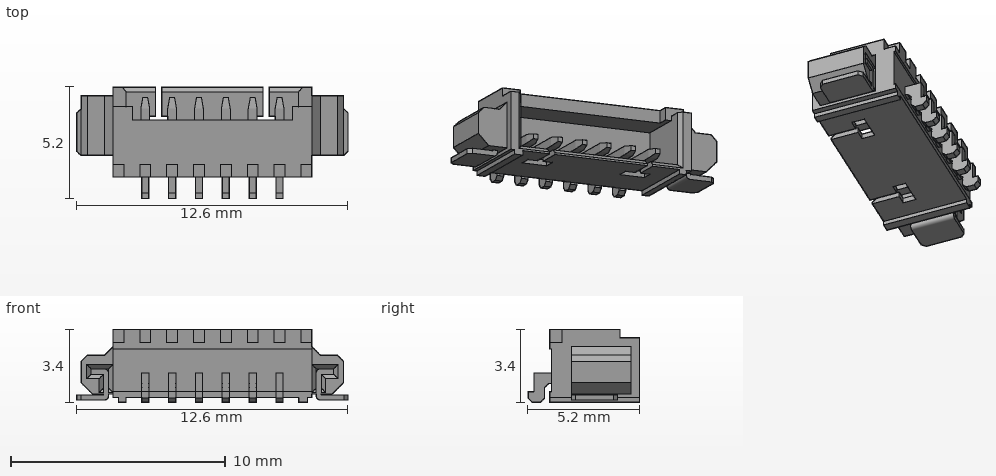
import cadquery as cq


contact_count = 6
pitch = 1.25
first_contact_x = -pitch * (contact_count - 1) / 2

notch_count = contact_count + 2
notch_width = 0.5
notch_depth = 0.58
notch_floor = 2.8

housing_width = pitch * (notch_count - 1) + notch_width
housing_depth = 4.2
housing_top = 3.4
housing_bottom = 0.22
half_width = housing_width / 2

recess_depth = 0.09
recess_bottom = 0.49
recess_top = 2.48

side_wall = 0.62
cavity_floor = 0.49
cavity_top = 2.8
cavity_front = 0.89
lead_in_depth = 0.23
lead_in_rise = 0.19

back_step_depth = 0.91
back_step_top = 3.01
roof_opening_depth = 1.53
roof_opening_margin = 0.91

latch_slot_width = 0.28
latch_slot_depth = 1.37
latch_window_length = 0.63

peg_width_left = 0.35
peg_width_right = 0.42
peg_inner_x = 4.02

pin_width = 0.42
pin_tip_width = 0.23
pin_shoulder_y = 3.18
pin_tip_y = 3.71
tail_width = 0.34
tail_top = 1.37
tail_underside = 0.87
tail_reach = 1.0
tail_toe_height = 0.49
tail_outer_y = -0.73
tail_inner_y = -0.23
tail_chamfer = 0.19
pin_axis_z = (tail_top + tail_underside) / 2

wing_reach = 1.48
wing_front = 1.01
wing_back = 3.8
wing_bottom = 0.38
wing_top = 2.2
wing_gusset = 0.39
wing_top_chamfer = 0.29
wing_bottom_chamfer = 0.53

overall_half_length = 6.32
arm_thickness = 0.25
stem_thickness = 0.24
foot_thickness = 0.24
bracket_outer_x = 5.65
socket_bevel = 0.2
bracket_inner_x = half_width + socket_bevel
bracket_top = 1.55
bracket_back = 3.18
foot_bottom = 0.1
foot_corner_chamfer = 0.19
bend_radius = 0.19
socket_bottom = 0.45


def box(x0, x1, y0, y1, z0, z1):
    return cq.Workplane("XY").box(x1 - x0, y1 - y0, z1 - z0, centered=False).translate((x0, y0, z0))


def front_profile(points, y):
    """Closed outline in X and Z at the given Y; extruding by a negative length goes toward the back."""
    return cq.Workplane("XZ", origin=(0, y, 0)).polyline(points).close()


def both_sides(solid):
    return solid.union(solid.mirror("YZ"))


def housing_shell():
    shell = box(-half_width, half_width, 0, housing_depth, housing_bottom, housing_top)
    shell = shell.cut(box(-half_width, half_width, 0, recess_depth, recess_bottom, recess_top))
    for i in range(notch_count):
        left = -half_width + i * pitch
        shell = shell.cut(box(left, left + notch_width, 0, notch_depth, notch_floor, housing_top))
    return shell


def cavity():
    """Mating space with a flared mouth, plus the stepped opening through the roof."""
    inner = half_width - side_wall
    back_step_y = housing_depth - back_step_depth
    roof_x = half_width - roof_opening_margin
    space = box(-inner, inner, cavity_front, housing_depth, cavity_floor, cavity_top)
    space = space.union(box(-half_width, half_width, back_step_y, housing_depth, back_step_top, housing_top))
    space = space.union(box(-inner, inner, back_step_y, housing_depth, cavity_floor, housing_top))
    roof_y = housing_depth - roof_opening_depth
    space = space.union(box(-roof_x, roof_x, roof_y, housing_depth, cavity_floor, housing_top))

    flare_y = housing_depth - lead_in_depth
    inner_height = housing_top - cavity_floor
    mouth = (
        cq.Workplane("XZ", origin=(0, flare_y, (cavity_floor + housing_top) / 2))
        .rect(2 * inner, inner_height)
        .workplane(offset=-lead_in_depth)
        .rect(2 * (inner + lead_in_rise), inner_height + 2 * lead_in_rise)
        .loft(combine=True)
    )
    return space.union(mouth)


def latch_windows():
    """T-shaped openings through the floor, between the outermost pairs of contacts."""
    slot_y = housing_depth - latch_slot_depth
    crossbar_y = slot_y - latch_window_length
    half_slot = latch_slot_width / 2
    x = first_contact_x + pitch / 2
    window = box(x - half_slot, x + half_slot, slot_y, housing_depth, 0, cavity_floor)
    crossbar = box(x - pitch / 2, x + pitch / 2, crossbar_y, slot_y, 0, cavity_floor)
    return both_sides(window.union(crossbar))


def pegs():
    left = box(-peg_inner_x - peg_width_left, -peg_inner_x, 0, housing_depth, 0, housing_bottom)
    right = box(peg_inner_x, peg_inner_x + peg_width_right, 0, housing_depth, 0, housing_bottom)
    return left.union(right)


def contact(x):
    """Square pin with a tapered tip inside the cavity and a stepped solder tail in front."""
    shaft = box(
        x - pin_width / 2, x + pin_width / 2, recess_depth, pin_shoulder_y,
        pin_axis_z - pin_width / 2, pin_axis_z + pin_width / 2,
    )
    tip = (
        cq.Workplane("XZ", origin=(x, pin_shoulder_y, pin_axis_z))
        .rect(pin_width, pin_width)
        .workplane(offset=pin_shoulder_y - pin_tip_y)
        .rect(pin_tip_width, pin_tip_width)
        .loft(combine=True)
    )
    tail_points = [
        (cavity_front, tail_top),
        (tail_outer_y, tail_top),
        (tail_outer_y, tail_toe_height),
        (-tail_reach, tail_toe_height),
        (-tail_reach, tail_chamfer),
        (tail_chamfer - tail_reach, 0),
        (tail_inner_y - tail_chamfer, 0),
        (tail_inner_y, tail_chamfer),
        (tail_inner_y, tail_underside - tail_chamfer),
        (tail_inner_y + tail_chamfer, tail_underside),
        (cavity_front, tail_underside),
    ]
    tail = (
        cq.Workplane("YZ", origin=(x, 0, 0))
        .polyline(tail_points)
        .close()
        .extrude(tail_width / 2, both=True)
    )
    return shaft.union(tip).union(tail)


def socket_mouth(outer_x, bottom_z):
    """Bevelled recess around one leg of the bracket, from the housing side out past outer_x."""
    left = -outer_x - socket_bevel
    top = bracket_top + socket_bevel
    corners = [(left, bottom_z), (-half_width, bottom_z), (-half_width, top), (left, top)]
    return front_profile(corners, wing_front).extrude(-socket_bevel, taper=45)


def wing():
    """Left wing, with the bevelled mouth of the L-shaped bracket socket in its front face."""
    outer = -half_width - wing_reach
    block = front_profile(
        [
            (-half_width, wing_bottom),
            (-half_width, wing_top + wing_gusset),
            (-half_width - wing_gusset, wing_top),
            (outer + wing_top_chamfer, wing_top),
            (outer, wing_top - wing_top_chamfer),
            (outer, wing_bottom + wing_bottom_chamfer),
            (outer + wing_bottom_chamfer, wing_bottom),
        ],
        wing_front,
    ).extrude(wing_front - wing_back)
    arm_bottom = bracket_top - arm_thickness
    arm = socket_mouth(bracket_outer_x, arm_bottom - socket_bevel)
    stem = socket_mouth(bracket_inner_x + stem_thickness, socket_bottom)
    return block.cut(arm).cut(stem)


def bracket():
    """Left bracket: a Z-bent strip with its arm in the wing and its foot on the board."""
    stem_x = -bracket_inner_x - stem_thickness
    arm_bottom = bracket_top - arm_thickness
    foot_top = foot_bottom + foot_thickness
    strip = front_profile(
        [
            (-bracket_outer_x, bracket_top),
            (-bracket_inner_x, bracket_top),
            (-bracket_inner_x, foot_bottom),
            (-overall_half_length, foot_bottom),
            (-overall_half_length, foot_top),
            (stem_x, foot_top),
            (stem_x, arm_bottom),
            (-bracket_outer_x, arm_bottom),
        ],
        wing_front,
    ).extrude(wing_front - bracket_back)
    strip = strip.edges("|Y").edges(">X").fillet(bend_radius)
    return strip.edges("|Z").edges("<X").chamfer(foot_corner_chamfer)


result = housing_shell().cut(cavity()).cut(latch_windows()).union(pegs())
for i in range(contact_count):
    result = result.union(contact(first_contact_x + i * pitch))
result = result.union(both_sides(wing())).union(both_sides(bracket()))